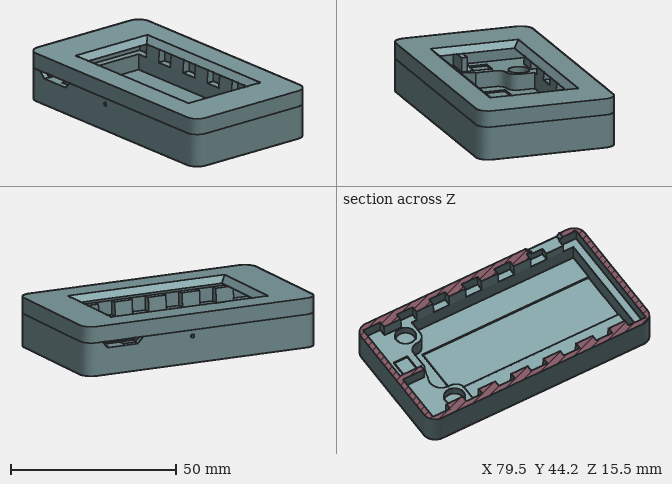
import cadquery as cq
import math


length = 79.45
width = 44.2
total_height = 15.5
base_height = 10.4
lid_height = total_height - base_height
corner_radius = 4.0
wall = 2.0
inner_length = length - 2 * wall
inner_width = width - 2 * wall

floor_height = 0.95
ledge_height = 5.95
pocket_half_width = 17.6
pocket_left = -35.3
pocket_right = 22.1
throat_half_width = 9.8
throat_right = 28.0
bay_right = 29.95
bay_radius = 4.0
shoulder_radius = 3.0
bay_bottom = 4.0
bulge_start = -0.8
bulge_middle = (28.85, 1.4)

recess_right = 23.75
recess_width = 17.5
recess_depth = 0.5

magnet_diameter = 6.4
magnet_depth = 2.5
magnet_x = 26.45
magnet_y = 14.15

tooth_width = 5.95
tooth_pitch = 11.5
tooth_count = 6
tooth_draft = 5.4

stop_left = 30.3
stop_low = 1.0
stop_high = 2.85
shelf_length = 4.8
shelf_width = 7.95
shelf_depth = 0.5
cone_x = 32.25
cone_y = 0.5
cone_radius = 2.1

notch_x = -27.0
notch_width = 10.0
notch_depth = 2.0
ramp_reach = 1.8
pin_hole_x = -3.2
pin_hole_height = 8.5
pin_hole_diameter = 1.0

window_length = 53.55
window_width = 28.2
plate_thickness = 2.0
bevel_angle = 45.0


def rounded_block(height, bottom):
    block = cq.Workplane("XY", origin=(0, 0, bottom)).rect(length, width).extrude(height)
    return block.edges("|Z").fillet(corner_radius)


def inner_space(bottom, height):
    return cq.Workplane("XY", origin=(0, 0, bottom)).rect(inner_length, inner_width).extrude(height)


def lower_pocket():
    """Main pocket with a narrower throat and a rounded bay between the magnet pads."""
    arc_step = bay_radius * math.sqrt(0.5)
    bay_center = (bay_right - bay_radius, throat_half_width - bay_radius)
    shoulder_x = pocket_right + shoulder_radius
    shoulder_y = throat_half_width + shoulder_radius
    end_radius = throat_right - shoulder_x
    bay_end_x = bay_center[0] + math.sqrt(bay_radius**2 - (bay_center[1] - bay_bottom) ** 2)
    outline = (
        cq.Workplane("XY", origin=(0, 0, floor_height))
        .moveTo(pocket_left, -pocket_half_width)
        .lineTo(pocket_right, -pocket_half_width)
        .lineTo(pocket_right, -shoulder_y)
        .radiusArc((shoulder_x, -throat_half_width), shoulder_radius)
        .radiusArc((throat_right, end_radius - throat_half_width), -end_radius)
        .lineTo(throat_right, bulge_start)
        .threePointArc(bulge_middle, (bay_end_x, bay_bottom))
        .threePointArc(
            (bay_center[0] + arc_step, bay_center[1] + arc_step),
            (bay_center[0], throat_half_width),
        )
        .lineTo(shoulder_x, throat_half_width)
        .radiusArc((pocket_right, shoulder_y), shoulder_radius)
        .lineTo(pocket_right, pocket_half_width)
        .lineTo(pocket_left, pocket_half_width)
        .close()
    )
    return outline.extrude(ledge_height - floor_height)


def floor_recess():
    recess_length = recess_right - pocket_left
    return cq.Workplane("XY").box(
        recess_length, recess_width, recess_depth, centered=(False, True, False)
    ).translate((pocket_left, 0, floor_height - recess_depth))


def magnet_holes():
    return (
        cq.Workplane("XY", origin=(0, 0, ledge_height - magnet_depth))
        .pushPoints([(magnet_x, magnet_y), (magnet_x, -magnet_y)])
        .circle(magnet_diameter / 2)
        .extrude(magnet_depth)
    )


def tooth(center_x, side):
    """One tooth on the long wall at `side` (+1 or -1), with a drafted inner face."""
    draft_shift = (base_height - ledge_height) * math.tan(math.radians(tooth_draft))
    root = inner_width / 2
    return (
        cq.Workplane("YZ", origin=(center_x - tooth_width / 2, 0, 0))
        .moveTo(side * root, ledge_height)
        .lineTo(side * pocket_half_width, ledge_height)
        .lineTo(side * (pocket_half_width + draft_shift), base_height)
        .lineTo(side * root, base_height)
        .close()
        .extrude(tooth_width)
    )


def stop_block():
    return cq.Workplane("XY").box(
        inner_length / 2 - stop_left, stop_high - stop_low, base_height - ledge_height, centered=False
    ).translate((stop_left, stop_low, ledge_height))


def sunken_shelf():
    return cq.Workplane("XY").box(shelf_length, shelf_width, shelf_depth, centered=False).translate(
        (stop_left, stop_low - shelf_width, ledge_height - shelf_depth)
    )


def locating_cone():
    shelf = cq.Vector(cone_x, cone_y, ledge_height - shelf_depth)
    cone = cq.Solid.makeCone(cone_radius, 0, cone_radius, pnt=shelf)
    return cq.Workplane(cone)


def pry_notch():
    """Slot through the front wall, flared by 45 degree ramps on its outer part."""
    floor = base_height - notch_depth
    front = -width / 2
    half = notch_width / 2
    slot = cq.Workplane("XY").box(
        notch_width, width / 2 - pocket_half_width + wall, notch_depth, centered=(True, False, False)
    ).translate((notch_x, front, floor))
    flare = (
        cq.Workplane("XZ", origin=(notch_x, front, 0))
        .polyline(
            [
                (-half, floor),
                (half, floor),
                (half + notch_depth, base_height),
                (-half - notch_depth, base_height),
            ]
        )
        .close()
        .extrude(-ramp_reach)
    )
    return slot.union(flare)


def pin_hole():
    return (
        cq.Workplane("XZ", origin=(pin_hole_x, -width / 2, pin_hole_height))
        .circle(pin_hole_diameter / 2)
        .extrude(-wall)
    )


def make_base():
    base = rounded_block(base_height, 0)
    base = base.cut(inner_space(ledge_height, base_height - ledge_height))
    base = base.cut(lower_pocket()).cut(floor_recess()).cut(magnet_holes()).cut(sunken_shelf())
    for index in range(tooth_count):
        center_x = (index - (tooth_count - 1) / 2) * tooth_pitch
        for side in (1, -1):
            base = base.union(tooth(center_x, side))
    base = base.union(stop_block()).union(locating_cone())
    return base.cut(pry_notch()).cut(pin_hole())


def make_lid():
    lid = rounded_block(lid_height, base_height)
    lid = lid.cut(inner_space(base_height, lid_height - plate_thickness))
    window = (
        cq.Workplane("XY", origin=(0, 0, total_height))
        .rect(window_length, window_width)
        .extrude(-plate_thickness, taper=bevel_angle)
    )
    return lid.cut(window)


base = make_base()
lid = make_lid()
result = cq.Compound.makeCompound([base.solids().val(), lid.solids().val()])